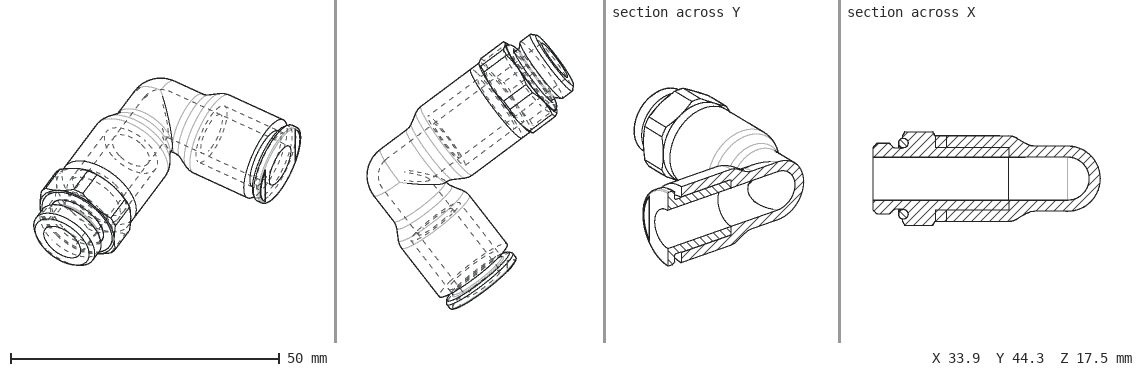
import cadquery as cq
import math


BARREL_RADIUS = 8.0
BORE_RADIUS = 4.0
SOCKET_RADIUS = 5.75

NECK_RADIUS = 6.1
BARREL_START = 10.97
BARREL_END = 22.6
TAPER_ANGLE = 30
TAPER_BLEND = 2.88

COLLET_BACK = 24.05
COLLET_FACE = 25.75
COLLET_RADIUS = 7.8
COLLET_ROOT_FILLET = 0.25
COLLET_BACK_BEVEL_LENGTH = 0.55
COLLET_BACK_BEVEL_DEPTH = 0.45
COLLET_FRONT_ROUND = 0.2
TAB_RADIUS = 7.25
TAB_HEIGHT = 0.15
TAB_GAP = 11.05

HEX_START = 24.65
HEX_END = 30.75
HEX_ACROSS_FLATS = 2 * BARREL_RADIUS
HEX_CORNER_DIAMETER = 17.5
HEX_CHAMFER_ANGLE = 30
STUD_NECK_RADIUS = 5.7
STUD_NECK_FILLET = 0.4
THREAD_RADIUS = 6.6
THREAD_START = 33.15
THREAD_TIP = 36.25
THREAD_CHAMFER = 0.75

ORING_SECTION_RADIUS = 0.95
ORING_CENTRE = 30.55

TOLERANCE = 0.0005


def revolve_profile(points):
    """Solid of revolution about Z from (radius, height) points."""
    return cq.Workplane("XZ").polyline(points).close().revolve(360, (0, 0, 0), (0, 1, 0))


def cylinder(radius, start, end):
    return cq.Workplane("XY").workplane(offset=start).circle(radius).extrude(end - start)


def fillet_rim(part, radius, height, fillet_radius):
    """Fillet the one circular edge about Z that has this radius and height."""
    def is_rim(edge):
        start = edge.startPoint()
        same_radius = abs(math.hypot(start.x, start.y) - radius) < TOLERANCE
        return edge.IsClosed() and same_radius and abs(start.z - height) < TOLERANCE
    rim = [edge for edge in part.edges().vals() if is_rim(edge)]
    return part.newObject(rim).fillet(fillet_radius)


def along_x(part):
    """Turn a part built along +Z onto the +X leg."""
    return part.rotate((0, 0, 0), (0, 1, 0), 90)


def along_minus_y(part):
    """Turn a part built along +Z onto the -Y leg."""
    return part.rotate((0, 0, 0), (1, 0, 0), 90)


def make_leg():
    taper_slope = math.tan(math.radians(TAPER_ANGLE))
    blend_setback = TAPER_BLEND * math.tan(math.radians(TAPER_ANGLE / 2))
    taper_end = BARREL_START - blend_setback
    taper_start = taper_end - (BARREL_RADIUS - NECK_RADIUS) / taper_slope
    leg = revolve_profile([
        (0, 0),
        (NECK_RADIUS, 0),
        (NECK_RADIUS, taper_start),
        (BARREL_RADIUS, taper_end),
        (BARREL_RADIUS, BARREL_END),
        (0, BARREL_END),
    ])
    leg = fillet_rim(leg, NECK_RADIUS, taper_start, TAPER_BLEND)
    return fillet_rim(leg, BARREL_RADIUS, taper_end, TAPER_BLEND)


def make_leg_passage():
    return cylinder(BORE_RADIUS, 0, BARREL_END).union(cylinder(SOCKET_RADIUS, BARREL_START, BARREL_END))


def make_elbow():
    leg = make_leg()
    outside = cq.Workplane("XY").sphere(NECK_RADIUS).union(along_x(leg)).union(along_minus_y(leg))
    passage = make_leg_passage()
    inside = cq.Workplane("XY").sphere(BORE_RADIUS).union(along_x(passage)).union(along_minus_y(passage))
    return outside.cut(inside)


def make_collet():
    stem = cylinder(SOCKET_RADIUS, BARREL_START, COLLET_BACK)
    flange = cylinder(COLLET_RADIUS, COLLET_BACK, COLLET_FACE)
    flange = flange.faces("<Z").chamfer(COLLET_BACK_BEVEL_LENGTH, COLLET_BACK_BEVEL_DEPTH)
    flange = flange.faces(">Z").edges().fillet(COLLET_FRONT_ROUND)
    collet = fillet_rim(stem.union(flange), SOCKET_RADIUS, COLLET_BACK, COLLET_ROOT_FILLET)
    tab_top = COLLET_FACE + TAB_HEIGHT
    gap = cq.Workplane("XY").box(2 * COLLET_RADIUS, TAB_GAP, 2 * tab_top)
    tabs = cylinder(TAB_RADIUS, COLLET_FACE, tab_top).cut(gap)
    return along_x(collet.union(tabs).cut(cylinder(BORE_RADIUS, BARREL_START, tab_top)))


def make_collar():
    ring = cylinder(BARREL_RADIUS, BARREL_END, HEX_START).cut(cylinder(SOCKET_RADIUS, BARREL_END, HEX_START))
    return along_minus_y(ring)


def make_oring():
    ring_radius = STUD_NECK_RADIUS + ORING_SECTION_RADIUS
    ring = cq.Solid.makeTorus(ring_radius, ORING_SECTION_RADIUS, cq.Vector(0, 0, ORING_CENTRE))
    return along_minus_y(cq.Workplane(ring))


def make_hexagon():
    """Hexagon with two flats facing +X and -X, its corners turned round and its ends chamfered."""
    corner_radius = HEX_CORNER_DIAMETER / 2
    chamfer_depth = corner_radius - BARREL_RADIUS
    chamfer_length = chamfer_depth * math.tan(math.radians(HEX_CHAMFER_ANGLE))
    across_corners = HEX_ACROSS_FLATS / math.cos(math.pi / 6)
    prism = cq.Workplane("XY").workplane(offset=HEX_START).polygon(6, across_corners)
    prism = prism.extrude(HEX_END - HEX_START).rotate((0, 0, 0), (0, 0, 1), 30)
    envelope = revolve_profile([
        (0, HEX_START),
        (BARREL_RADIUS, HEX_START),
        (corner_radius, HEX_START + chamfer_length),
        (corner_radius, HEX_END - chamfer_length),
        (BARREL_RADIUS, HEX_END),
        (0, HEX_END),
    ])
    return prism.intersect(envelope)


def make_threaded_end():
    flank_start = THREAD_START - (THREAD_RADIUS - STUD_NECK_RADIUS)
    end = revolve_profile([
        (0, HEX_END),
        (STUD_NECK_RADIUS, HEX_END),
        (STUD_NECK_RADIUS, flank_start),
        (THREAD_RADIUS, THREAD_START),
        (THREAD_RADIUS, THREAD_TIP - THREAD_CHAMFER),
        (THREAD_RADIUS - THREAD_CHAMFER, THREAD_TIP),
        (0, THREAD_TIP),
    ])
    return fillet_rim(end, STUD_NECK_RADIUS, flank_start, STUD_NECK_FILLET)


def make_stud(oring):
    spigot = cylinder(SOCKET_RADIUS, BARREL_START, HEX_START)
    stud = spigot.union(make_hexagon()).union(make_threaded_end())
    stud = stud.cut(cylinder(BORE_RADIUS, BARREL_START, THREAD_TIP))
    return along_minus_y(stud).cut(oring)


elbow = make_elbow()
collet = make_collet()
collar = make_collar()
oring = make_oring()
stud = make_stud(oring)

result = cq.Compound.makeCompound([
    elbow.solids().val(),
    collet.solids().val(),
    collar.solids().val(),
    oring.solids().val(),
    stud.solids().val(),
])